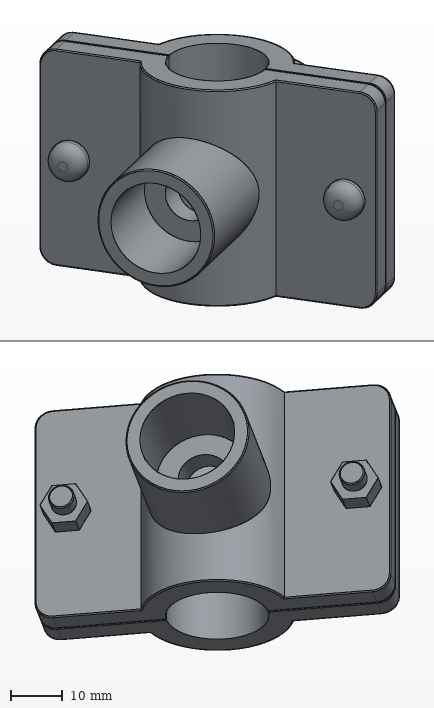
import cadquery as cq
import math

collar_diameter = 30.0
collar_bore = 20.0
clamp_height = 45.0
flange_length = 70.0
flange_thickness = 5.0
corner_radius = 3.5
edge_break = 0.25

socket_diameter = 24.22
socket_bore = 18.63
socket_reach = 33.0
socket_floor = collar_diameter / 2
passage_diameter = 10.0

bolt_spacing = 57.2
bolt_diameter = 5.0
bolt_end = 12.0
head_diameter = 8.0
head_height = 4.0
head_rounding = 3.0
nut_across_flats = 8.1
nut_height = 4.0
hexagon_sides = 6
half_turn = 180.0
bolt_positions = (-bolt_spacing / 2, bolt_spacing / 2)


def rod(diameter, start, length, x=0.0):
    """Cylinder along +Y that starts at the given distance from the joint plane."""
    return cq.Workplane("XZ", origin=(x, start, 0)).circle(diameter / 2).extrude(-length)


def flange_plate():
    """Plate with rounded corners that rests on the joint plane."""
    plate = cq.Workplane("XY").box(
        flange_length, flange_thickness, clamp_height, centered=(True, False, True)
    )
    return plate.edges("|Y").fillet(corner_radius)


def half_collar():
    """Solid half cylinder on the +Y side of the joint plane."""
    profile = (
        cq.Workplane("XY", origin=(0, 0, -clamp_height / 2))
        .moveTo(collar_diameter / 2, 0)
        .threePointArc((0, collar_diameter / 2), (-collar_diameter / 2, 0))
        .close()
    )
    return profile.extrude(clamp_height)


def is_seam(edge):
    """True for the upright edges where the collar leaves the flange face."""
    upright = edge.BoundingBox().zlen > clamp_height - edge_break
    return upright and abs(edge.Center().x) < collar_diameter / 2


def clamp_half():
    """Bored clamp half with its socket, on the +Y side of the joint plane."""
    shell = flange_plate().union(half_collar())
    rims = shell.edges("not |Y").filter(lambda edge: not is_seam(edge))
    shell = shell.newObject(rims.vals()).chamfer(edge_break)
    socket = rod(socket_diameter, 0, socket_reach).faces(">Y").edges().chamfer(edge_break)
    collar_hole = cq.Workplane("XY").circle(collar_bore / 2).extrude(clamp_height, both=True)
    socket_hole = rod(socket_bore, socket_floor, socket_reach - socket_floor)
    passage = rod(passage_diameter, 0, socket_reach)
    return shell.union(socket).cut(collar_hole).cut(socket_hole).cut(passage)


def nut_and_bolt_end(x):
    """Hexagon nut on the flange face with the end of the bolt standing out of it."""
    corner_span = nut_across_flats / math.cos(math.pi / hexagon_sides)
    nut = (
        cq.Workplane("XZ", origin=(x, flange_thickness, 0))
        .polygon(hexagon_sides, corner_span)
        .extrude(-nut_height)
    )
    bolt = rod(bolt_diameter, flange_thickness, bolt_end - flange_thickness, x)
    return nut.union(bolt.faces(">Y").edges().chamfer(edge_break))


def bolt_head(x):
    """Domed head on the flange face."""
    head = rod(head_diameter, flange_thickness, head_height, x)
    return head.faces(">Y").edges().fillet(head_rounding)


rear_half = clamp_half()
for position in bolt_positions:
    rear_half = rear_half.union(nut_and_bolt_end(position))

front_half = clamp_half()
for position in bolt_positions:
    front_half = front_half.union(bolt_head(position))
front_half = front_half.rotate((0, 0, 0), (0, 0, 1), half_turn)

result = cq.Compound.makeCompound([front_half.val(), rear_half.val()])